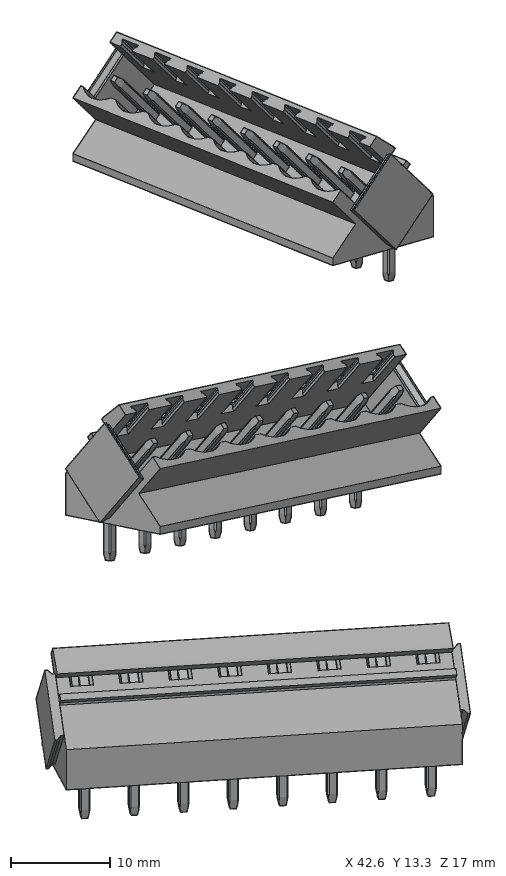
import cadquery as cq
import math


pole_count = 8
body_length = 40.65
overall_length = 42.65
pitch = body_length / pole_count
pole_positions = [(i - (pole_count - 1) / 2) * pitch for i in range(pole_count)]

back_across = 5.7
lid_inner_across = 4.9
lip_inner_across = -0.45
lip_outer_across = -1.95
lid_mouth_out = 11.5
lip_mouth_out = 11.55
floor_out = 3.2
toe_out = 7.3

back_y = 3.75
toe_height = 0.8

rail_out = 8.45
rail_tip_across = 6.2
rail_base_across = 6.6
rail_land = 0.35

rib_out_low = 5.55
rib_out_high = 6.25
rib_across = 6.5
rib_foot_chamfer = 0.15

slot_width = 1.8
slot_wide_width = 2.35
slot_narrow_across = 5.2
slot_wide_across = 5.55
slot_end_out = 7.38

plate_low_across = -1.3
plate_back_across = 5.6
plate_out_low = 1.6
plate_out_high = 9.42
plate_flare = 0.45
plate_neck = 0.3
plate_rim = 0.25

pin_across = 1.8
pin_width = 1.02
pin_chamfer = 0.15
tip_width = 0.65
tip_length = 1.0
tip_taper = math.degrees(math.atan((pin_width - tip_width) / 2 / tip_length))
pin_bottom_z = -4.48
pin_end_out = 10.6

hollow_radius = 3.45
hollow_across = (lid_inner_across + lip_inner_across) / 2


def tilted(across, out):
    """Y and Z of a point given along the tilted axes."""
    return ((across - out) / math.sqrt(2), (across + out) / math.sqrt(2))


def tilted_plane(out):
    """Plane facing out of the socket: local x is X and local y is across."""
    y, z = tilted(0, out)
    return cq.Workplane(cq.Plane(origin=(0, y, z), xDir=(1, 0, 0), normal=(0, -1, 1)))


def body_bar(points):
    """Straight bar of the body's length with the given Y-Z outline."""
    return cq.Workplane("YZ").polyline(points).close().extrude(body_length / 2, both=True)


def make_body():
    """Body with its foot, lid, lip and socket, without slots."""
    toe_y, _ = tilted(lip_outer_across, lip_mouth_out)
    back_top_z = back_across * math.sqrt(2) - back_y
    return body_bar([
        (back_y, 0),
        (back_y, back_top_z),
        tilted(back_across, lid_mouth_out),
        tilted(lid_inner_across, lid_mouth_out),
        tilted(lid_inner_across, floor_out),
        tilted(lip_inner_across, floor_out),
        tilted(lip_inner_across, lip_mouth_out),
        tilted(lip_outer_across, lip_mouth_out),
        tilted(lip_outer_across, toe_out),
        (toe_y, toe_height),
        (toe_y, 0),
    ])


def make_rail():
    """Bar on the outside of the lid, tapering toward the mouth."""
    return body_bar([
        tilted(back_across, rail_out),
        tilted(rail_base_across, rail_out),
        tilted(rail_base_across, rail_out + rail_land),
        tilted(rail_tip_across, lid_mouth_out),
        tilted(back_across, lid_mouth_out),
    ])


def make_rib():
    """Small rib with a chamfered foot on the sloping back face."""
    return body_bar([
        tilted(back_across, rib_out_low - rib_foot_chamfer),
        tilted(back_across + rib_foot_chamfer, rib_out_low),
        tilted(rib_across, rib_out_low),
        tilted(rib_across, rib_out_high),
        tilted(back_across + rib_foot_chamfer, rib_out_high),
        tilted(back_across, rib_out_high + rib_foot_chamfer),
    ])


def make_end_plate(side):
    """Flared plate on one end of the body; side is -1 or 1."""
    inner_x = body_length / 2
    neck_x = inner_x + plate_neck
    outer_x = overall_length / 2
    rim_x = outer_x - plate_rim
    neck_out_low = plate_out_low + plate_flare
    neck_out_high = plate_out_high - plate_flare
    outline = [
        (inner_x, neck_out_low),
        (neck_x, neck_out_low),
        (rim_x, plate_out_low),
        (outer_x, plate_out_low),
        (outer_x, plate_out_high),
        (rim_x, plate_out_high),
        (neck_x, neck_out_high),
        (inner_x, neck_out_high),
    ]
    y, z = tilted(plate_back_across, 0)
    back_plane = cq.Plane(origin=(0, y, z), xDir=(1, 0, 0), normal=(0, -1, -1))
    points = [(side * x, out) for x, out in outline]
    plate_width = plate_back_across - plate_low_across
    return cq.Workplane(back_plane).polyline(points).close().extrude(plate_width)


def make_slot(x):
    """Cutter for one dovetail slot, wide at the back face of the lid."""
    narrow = slot_width / 2
    wide = slot_wide_width / 2
    return (
        tilted_plane(slot_end_out)
        .polyline([
            (x - narrow, lid_inner_across),
            (x - narrow, slot_narrow_across),
            (x - wide, slot_wide_across),
            (x - wide, back_across),
            (x + wide, back_across),
            (x + wide, slot_wide_across),
            (x + narrow, slot_narrow_across),
            (x + narrow, lid_inner_across),
        ])
        .close()
        .extrude(lid_mouth_out - slot_end_out)
    )


def make_hollow(x):
    """Cutter for one round hollow; it stops on the socket floor."""
    hollow_depth = lip_mouth_out - floor_out
    return tilted_plane(floor_out).center(x, hollow_across).circle(hollow_radius).extrude(hollow_depth)


def make_lip_block():
    """Block of the lip's size, limiting the hollows to the lip."""
    return body_bar([
        tilted(lip_inner_across, floor_out),
        tilted(lip_inner_across, lip_mouth_out),
        tilted(lip_outer_across, lip_mouth_out),
        tilted(lip_outer_across, floor_out),
    ])


def make_pin(x):
    """Bent square pin with chamfered edges and tapered tips."""
    bend_z = pin_across * math.sqrt(2)
    tip_y, tip_z = tilted(pin_across, pin_end_out)
    bend = cq.Vector(x, 0, bend_z)
    down = cq.Vector(0, 0, -1)
    outward = cq.Vector(0, -1, 1).normalized()
    bottom_shoulder = cq.Vector(x, 0, pin_bottom_z) - down * tip_length
    upper_shoulder = cq.Vector(x, tip_y, tip_z) - outward * tip_length

    def section(origin, direction):
        """Square outline with chamfered corners."""
        plane = cq.Plane(origin=origin, xDir=(1, 0, 0), normal=direction)
        half = pin_width / 2
        flat = half - pin_chamfer
        corners = [
            (half, flat), (flat, half), (-flat, half), (-half, flat),
            (-half, -flat), (-flat, -half), (flat, -half), (half, -flat),
        ]
        return cq.Workplane(plane).polyline(corners).close()

    def tip(shoulder, direction):
        """Blunt pyramid that keeps the chamfers of the shaft."""
        plane = cq.Plane(origin=shoulder, xDir=(1, 0, 0), normal=direction)
        pyramid = cq.Workplane(plane).rect(pin_width, pin_width).extrude(tip_length, taper=tip_taper)
        return section(shoulder, direction).extrude(tip_length).intersect(pyramid)

    axis_points = [bottom_shoulder, bend, upper_shoulder]
    path = cq.Workplane("XY").polyline([point.toTuple() for point in axis_points])
    shaft = section(bottom_shoulder, -down).sweep(path, transition="right")
    return shaft.union(tip(bottom_shoulder, down)).union(tip(upper_shoulder, outward))


pins = [make_pin(x) for x in pole_positions]

housing = make_body().union(make_rail()).union(make_rib())
for side in (-1, 1):
    housing = housing.union(make_end_plate(side))
lip_block = make_lip_block()
for x, pin in zip(pole_positions, pins):
    housing = housing.cut(make_slot(x)).cut(make_hollow(x).intersect(lip_block)).cut(pin)

result = cq.Compound.makeCompound([housing.val(), *[pin.val() for pin in pins]])